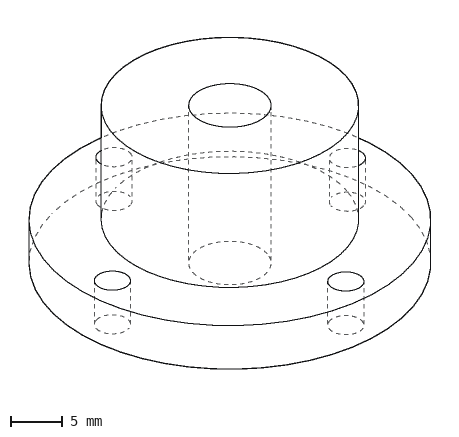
import cadquery as cq

flange_diameter = 39.0
flange_thickness = 5.0
total_height = 18.0
boss_diameter = 25.0
bore_diameter = 8.0
bolt_circle_diameter = 32.0
bolt_hole_diameter = 3.5
bolt_hole_count = 4

flange = cq.Workplane("XY").circle(flange_diameter / 2).extrude(flange_thickness)

body = (
    flange.faces(">Z").workplane()
    .circle(boss_diameter / 2)
    .extrude(total_height - flange_thickness)
)

bore = cq.Workplane("XY").circle(bore_diameter / 2).extrude(total_height)

bolt_holes = (
    cq.Workplane("XY")
    .polarArray(bolt_circle_diameter / 2, 0, 360, bolt_hole_count)
    .circle(bolt_hole_diameter / 2)
    .extrude(flange_thickness)
)

result = body.cut(bore).cut(bolt_holes)